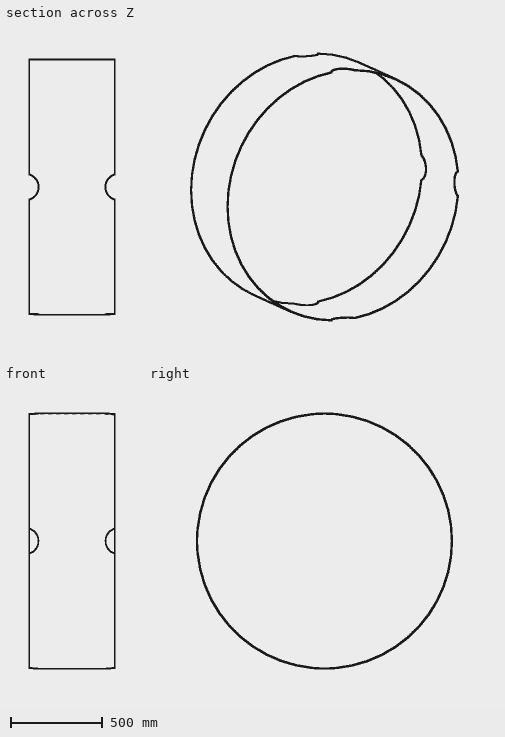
import cadquery as cq

outer_diameter = 1397.0
ring_width = 470.0
wall = 4.0

notch_radius = 71.0
notch_depth = 52.0
notch_angles = (0, 90, 180)

outer_radius = outer_diameter / 2
cutter_length = outer_radius + 14.0


def ring():
    return (
        cq.Workplane("YZ")
        .circle(outer_radius)
        .circle(outer_radius - wall)
        .extrude(ring_width / 2, both=True)
    )


def notch_pair(angle):
    """Radial cylinders biting into both rims at one angle around the ring."""
    center_offset = ring_width / 2 - notch_depth + notch_radius
    return (
        cq.Workplane("XY")
        .pushPoints([(-center_offset, 0), (center_offset, 0)])
        .circle(notch_radius)
        .extrude(cutter_length)
        .rotate((0, 0, 0), (1, 0, 0), angle)
    )


result = ring()
for notch_angle in notch_angles:
    result = result.cut(notch_pair(notch_angle))